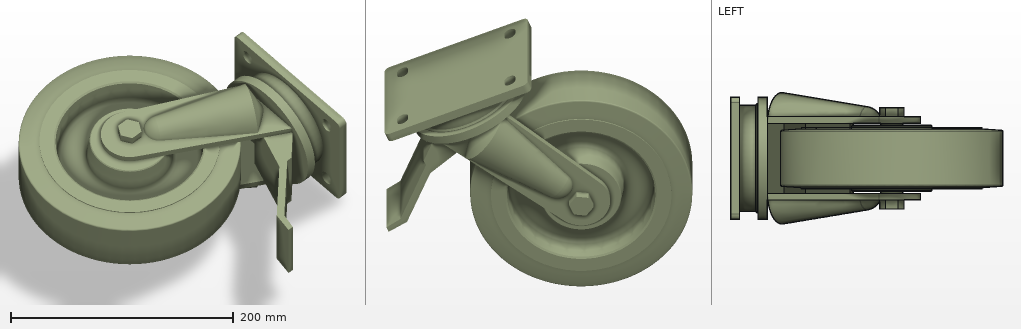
import cadquery as cq
import math


overall_length = 273.5
swivel_offset = 60.2
plate_top_y = 145.0

plate_length = 140.0
plate_width = 110.0
plate_thickness = 8.2
plate_corner_radius = 5.0
slot_pitch_x = 105.0
slot_pitch_z = 77.1
slot_length = 14.2
slot_width = 11.0

neck_diameter = 95.7
shoulder_diameter = 98.5
shoulder_height = 2.2
shoulder_chamfer = 1.5
flange_diameter = 110.0
flange_thickness = 8.5
flange_bottom_y = 112.0

tread_diameter = 200.0
tread_half_width = 25.2
tread_edge_radius = 1.5
rim_diameter = 162.5
rim_half_width = 27.5
tread_inner_half_width = 26.5
recess_mouth_radius = 68.5
recess_wall_radius = 66.7
recess_corner_radius = 64.5
recess_lip = 1.0
web_half_width = 4.7
web_fillet = 4.0
hub_foot_radius = 39.5
hub_top_radius = 36.0
hub_half_width = 29.8
hub_edge = 0.8

fork_gap = 63.0
fork_thickness = 6.0
fork_end_radius = 26.0
fork_top_width = 66.7
boss_large_diameter = 55.5
boss_small_diameter = 30.0
boss_tip_distance = 25.2

axle_diameter = 20.0
bolt_head_flats = 19.1
bolt_head_height = 8.2

pedal_bend_x = 114.5
pedal_root_bottom_y = 96.8
pedal_bend_bottom_y = 77.5
pedal_step_bottom_y = 87.0
pedal_step_top_y = 92.2
pedal_knee_bottom = (154.3, 37.7)
pedal_knee_top = (158.7, 43.0)
pedal_tip_bottom_y = 34.5
pedal_tip_top_y = 39.7

plate_bottom_y = plate_top_y - plate_thickness
flange_top_y = flange_bottom_y + flange_thickness
shoulder_top_y = flange_top_y + shoulder_height
fork_inner_z = fork_gap / 2
fork_outer_z = fork_inner_z + fork_thickness
pedal_tip_x = overall_length - tread_diameter / 2
boss_large_radius = boss_large_diameter / 2
boss_small_radius = boss_small_diameter / 2
leg_length = math.hypot(swivel_offset, flange_bottom_y)
leg_angle = math.degrees(math.atan2(flange_bottom_y, swivel_offset))


def mirrored(body):
    """The body together with its mirror image below Z = 0."""
    return body.union(body.mirror("XY"))


def tangent_point(point, radius, side):
    """Where the tangent from a point touches a circle about the axle; side is +1 or -1."""
    distance = math.hypot(*point)
    angle = math.atan2(point[1], point[0]) + side * math.acos(radius / distance)
    return (radius * math.cos(angle), radius * math.sin(angle))


def circles_at(z):
    """Selects the full circles around the axle that lie at height z."""
    margin = 0.15
    return cq.selectors.BoxSelector((-margin, -margin, z - margin), (margin, margin, z + margin))


def mounting_plate():
    base = cq.Workplane("XZ", origin=(swivel_offset, plate_top_y, 0))
    plate = base.rect(plate_length, plate_width).extrude(plate_thickness)
    plate = plate.edges("|Y").fillet(plate_corner_radius)
    slots = (
        base.rect(slot_pitch_x, slot_pitch_z, forConstruction=True)
        .vertices()
        .slot2D(slot_length, slot_width, 90)
        .extrude(plate_thickness)
    )
    return plate.cut(slots)


def swivel_head():
    neck_radius = neck_diameter / 2
    shoulder_radius = shoulder_diameter / 2
    flange_radius = flange_diameter / 2
    profile = [
        (0, flange_bottom_y),
        (flange_radius, flange_bottom_y),
        (flange_radius, flange_top_y),
        (shoulder_radius, flange_top_y),
        (shoulder_radius, shoulder_top_y - shoulder_chamfer),
        (neck_radius, shoulder_top_y),
        (neck_radius, plate_bottom_y),
        (0, plate_bottom_y),
    ]
    head = cq.Workplane("XY").polyline(profile).close().revolve(360, (0, 0), (0, 1))
    return head.translate((swivel_offset, 0, 0))


def wheel():
    tread_radius = tread_diameter / 2
    rim_radius = rim_diameter / 2
    upper_half = [
        (tread_radius, tread_half_width),
        (rim_radius, tread_inner_half_width),
        (rim_radius, rim_half_width),
        (recess_mouth_radius, rim_half_width),
        (recess_wall_radius, rim_half_width - recess_lip),
        (recess_corner_radius, web_half_width),
        (hub_foot_radius, web_half_width),
        (hub_top_radius, hub_half_width - hub_edge),
        (hub_top_radius - hub_edge, hub_half_width),
        (0, hub_half_width),
    ]
    lower_half = [(radius, -z) for radius, z in reversed(upper_half)]
    body = cq.Workplane("XZ").polyline(upper_half + lower_half).close().revolve(360, (0, 0), (0, 1))
    for side in (1, -1):
        body = body.edges(circles_at(side * web_half_width)).fillet(web_fillet)
        body = body.edges(circles_at(side * tread_half_width)).fillet(tread_edge_radius)
    return body


def fork_leg():
    top_left = (swivel_offset - fork_top_width / 2, flange_bottom_y)
    top_right = (swivel_offset + fork_top_width / 2, flange_bottom_y)
    round_end = (
        -fork_end_radius * math.cos(math.radians(leg_angle)),
        -fork_end_radius * math.sin(math.radians(leg_angle)),
    )
    return (
        cq.Workplane("XY", origin=(0, 0, fork_inner_z))
        .moveTo(*top_left)
        .lineTo(*tangent_point(top_left, fork_end_radius, 1))
        .threePointArc(round_end, tangent_point(top_right, fork_end_radius, -1))
        .lineTo(*top_right)
        .close()
        .extrude(fork_thickness)
    )


def leg_boss():
    """Half of a tapered round boss along the leg, standing on the leg's inner face."""
    end_cone_length = boss_large_radius * swivel_offset / flange_bottom_y
    large_end = leg_length - end_cone_length
    taper_slope = (boss_large_radius - boss_small_radius) / (large_end - boss_tip_distance)
    ball_centre = boss_tip_distance + boss_small_radius * taper_slope
    ball_radius = boss_small_radius * math.hypot(1, taper_slope)
    tip = ball_centre - ball_radius
    arc_angle = math.atan(1 / taper_slope) / 2
    arc_middle = (
        ball_centre - ball_radius * math.cos(arc_angle),
        ball_radius * math.sin(arc_angle),
    )
    boss = (
        cq.Workplane("XY")
        .moveTo(tip, 0)
        .threePointArc(arc_middle, (boss_tip_distance, boss_small_radius))
        .lineTo(large_end, boss_large_radius)
        .lineTo(leg_length, 0)
        .close()
        .revolve(180, (0, 0), (1, 0))
    )
    return boss.rotate((0, 0, 0), (0, 0, 1), leg_angle).translate((0, 0, fork_inner_z))


def axle():
    shank = cq.Workplane("XY").circle(axle_diameter / 2).extrude(fork_outer_z)
    head_corners = bolt_head_flats / math.cos(math.pi / 6)
    head = (
        cq.Workplane("XY", origin=(0, 0, fork_outer_z))
        .transformed(rotate=(0, 0, 90))
        .polygon(6, head_corners)
        .extrude(bolt_head_height)
    )
    return mirrored(shank.union(head))


def brake_pedal():
    shoulder_x = pedal_bend_x - (flange_bottom_y - pedal_step_top_y)
    outline = [
        (swivel_offset, flange_bottom_y),
        (shoulder_x, flange_bottom_y),
        (pedal_bend_x, pedal_step_top_y),
        (pedal_bend_x, pedal_step_bottom_y),
        pedal_knee_top,
        (pedal_tip_x, pedal_tip_top_y),
        (pedal_tip_x, pedal_tip_bottom_y),
        pedal_knee_bottom,
        (pedal_bend_x, pedal_bend_bottom_y),
        (swivel_offset, pedal_root_bottom_y),
    ]
    return cq.Workplane("XY").polyline(outline).close().extrude(fork_inner_z, both=True)


result = (
    mounting_plate()
    .union(swivel_head())
    .union(mirrored(fork_leg().union(leg_boss())))
    .union(brake_pedal())
    .union(axle())
    .union(wheel())
)